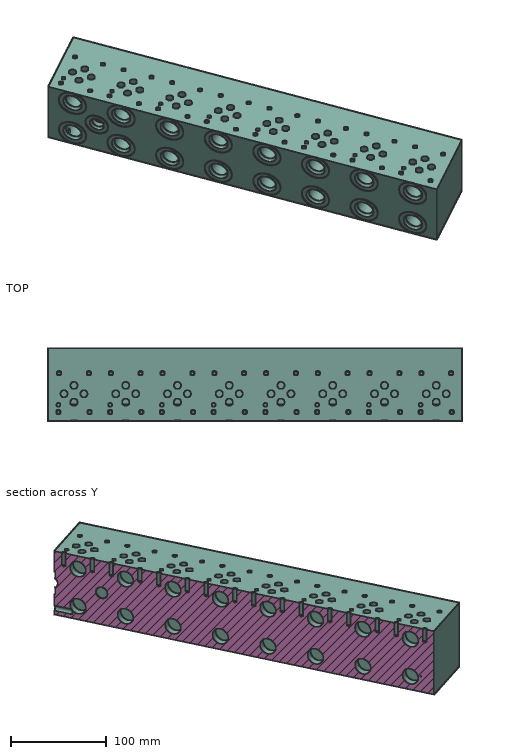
import cadquery as cq
import math

LENGTH = 431.8
WIDTH = 76.2
HEIGHT = 76.2

STATION_COUNT = 8
STATION_PITCH = 53.975
STATION_X = [
    LENGTH / 2 + (number - (STATION_COUNT - 1) / 2) * STATION_PITCH
    for number in range(STATION_COUNT)
]
VALVE_Y = 28.575
VALVE_OFFSET_X = 0.1

FLOW_HOLE_DIAMETER = 7.49
FLOW_HOLE_DEPTH = 8.0
FLOW_HOLE_ACROSS = 10.4
FLOW_HOLE_ALONG = 8.75
REAR_BOLT_ACROSS = 15.5
FRONT_BOLT_ACROSS = 16.25
REAR_BOLT_ALONG = 21.5
FRONT_BOLT_ALONG = -19.0
PIN_ALONG = -11.5
PIN_HOLE_DIAMETER = 4.01
PIN_HOLE_DEPTH = 5.0

BOLT_THREAD = (3.68, 4.83, 15.0)
END_THREAD = (6.41, 7.94, 20.0)
END_HOLE_INSET = 7.9375
DRILL_POINT_ANGLE = 118.0

WORK_PORT = (30.25, 20.65, 18.59, 17.33)
GAUGE_PORT = (25.02, 15.6, 13.6, 12.76)
GALLERY_PORT = (34.42, 23.93, 21.84, 20.26)
SPOT_FACE_DEPTH = 0.8
SEAL_CONE_DEPTH = 2.5
LEAD_IN_DEPTH = 0.9
WORK_PORT_DEPTH = 17.5
GAUGE_PORT_DEPTH = 10.0
GALLERY_PORT_DEPTH = 25.0
LOWER_PORT_Z = 16.0
UPPER_PORT_Z = 60.4
GAUGE_PORT_X = STATION_X[0] + STATION_PITCH / 2

GALLERY_SPACING = 35.56
GALLERY_Y = (WIDTH / 2 - GALLERY_SPACING / 2, WIDTH / 2 + GALLERY_SPACING / 2)

INTO_BLOCK_RIGHT = cq.Vector(1, 0, 0)
INTO_BLOCK_REAR = cq.Vector(0, 1, 0)
INTO_BLOCK_DOWN = cq.Vector(0, 0, -1)


def drill(mouth, direction, diameter, depth):
    """Flat-bottomed round hole."""
    return cq.Solid.makeCylinder(diameter / 2, depth, mouth, direction)


def cone(mouth, direction, mouth_diameter, end_diameter, depth):
    """Tapered hole, or a drill point where the end diameter is zero."""
    return cq.Solid.makeCone(mouth_diameter / 2, end_diameter / 2, depth, mouth, direction)


def tapped_hole(mouth, direction, thread):
    """Drilled hole with a 90 degree countersink and a pointed bottom."""
    diameter, countersink, depth = thread
    countersink_depth = (countersink - diameter) / 2
    point_depth = diameter / 2 / math.tan(math.radians(DRILL_POINT_ANGLE / 2))
    return [
        cone(mouth, direction, countersink, diameter, countersink_depth),
        drill(mouth, direction, diameter, depth),
        cone(mouth + direction * depth, direction, diameter, 0, point_depth),
    ]


def o_ring_port(mouth, direction, diameters, depth):
    """Flat-bottomed port with a shallow spot face, a conical O-ring seat and a lead-in to the thread."""
    spot_face, seal_mouth, seal_end, thread = diameters
    seat = mouth + direction * SPOT_FACE_DEPTH
    lead_in = seat + direction * SEAL_CONE_DEPTH
    return [
        drill(mouth, direction, spot_face, SPOT_FACE_DEPTH),
        cone(seat, direction, seal_mouth, seal_end, SEAL_CONE_DEPTH),
        cone(lead_in, direction, seal_end, thread, LEAD_IN_DEPTH),
        drill(mouth, direction, thread, depth),
    ]


def valve_pattern(station_x):
    """Flow holes, bolt holes and locating pin hole of one valve on the top face."""

    def on_top(across, along):
        return cq.Vector(station_x + VALVE_OFFSET_X + across, VALVE_Y + along, HEIGHT)

    cutters = []
    flow_holes = [
        (-FLOW_HOLE_ACROSS, 0),
        (FLOW_HOLE_ACROSS, 0),
        (0, -FLOW_HOLE_ALONG),
        (0, FLOW_HOLE_ALONG),
    ]
    for across, along in flow_holes:
        mouth = on_top(across, along)
        cutters.append(drill(mouth, INTO_BLOCK_DOWN, FLOW_HOLE_DIAMETER, FLOW_HOLE_DEPTH))

    bolts = [
        (-REAR_BOLT_ACROSS, REAR_BOLT_ALONG),
        (REAR_BOLT_ACROSS, REAR_BOLT_ALONG),
        (-FRONT_BOLT_ACROSS, FRONT_BOLT_ALONG),
        (FRONT_BOLT_ACROSS, FRONT_BOLT_ALONG),
    ]
    for across, along in bolts:
        cutters += tapped_hole(on_top(across, along), INTO_BLOCK_DOWN, BOLT_THREAD)

    pin_mouth = on_top(-FRONT_BOLT_ACROSS, PIN_ALONG)
    cutters.append(drill(pin_mouth, INTO_BLOCK_DOWN, PIN_HOLE_DIAMETER, PIN_HOLE_DEPTH))
    return cutters


def work_ports(station_x):
    """Upper and lower front ports of one valve station."""
    cutters = []
    for z in (LOWER_PORT_Z, UPPER_PORT_Z):
        mouth = cq.Vector(station_x, 0, z)
        cutters += o_ring_port(mouth, INTO_BLOCK_REAR, WORK_PORT, WORK_PORT_DEPTH)
    return cutters


def gauge_port():
    mouth = cq.Vector(GAUGE_PORT_X, 0, HEIGHT / 2)
    return o_ring_port(mouth, INTO_BLOCK_REAR, GAUGE_PORT, GAUGE_PORT_DEPTH)


def gallery_ports():
    """Pressure and tank ports in the left end."""
    cutters = []
    for y in GALLERY_Y:
        mouth = cq.Vector(0, y, HEIGHT / 2)
        cutters += o_ring_port(mouth, INTO_BLOCK_RIGHT, GALLERY_PORT, GALLERY_PORT_DEPTH)
    return cutters


def end_mounting_holes():
    """Two tapped holes low on the left end."""
    cutters = []
    for y in (END_HOLE_INSET, WIDTH - END_HOLE_INSET):
        mouth = cq.Vector(0, y, END_HOLE_INSET)
        cutters += tapped_hole(mouth, INTO_BLOCK_RIGHT, END_THREAD)
    return cutters


cutters = gauge_port() + gallery_ports() + end_mounting_holes()
for x in STATION_X:
    cutters += valve_pattern(x) + work_ports(x)

block = cq.Workplane("XY").box(LENGTH, WIDTH, HEIGHT, centered=False)
result = cq.Workplane(block.val().cut(*cutters))